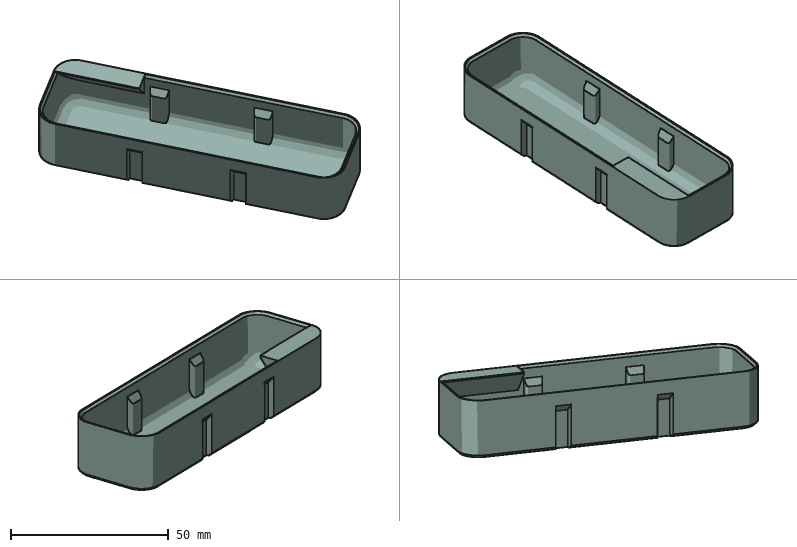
import cadquery as cq

length = 100.8
width = 30.0
height = 19.2
corner_radius = 7.1
bottom_chamfer = 1.0

wall = 1.2
floor_thickness = 1.2
floor_fillet = 4.0
rim_land = 0.4

slope = 1.25

groove_spacing = 34.3
groove_mouth_width = 5.1
groove_end_width = 4.1
groove_depth = 1.8
groove_height = 14.7
rib_base_width = 6.1
rib_tip_width = 5.2
rib_edge_radius = 0.8
rib_depth = groove_depth + wall
rib_root = floor_thickness / 2
rib_wall_height = 15.1

shelf_length = 28.2
shelf_width = 7.1
shelf_edge = 0.5

front_y = -width / 2
back_y = width / 2
left_x = -length / 2


def rounded_block(inset, bottom, top):
    """Upright block with rounded corners, set in from the outer outline."""
    return (
        cq.Workplane("XY")
        .workplane(offset=bottom)
        .rect(length - 2 * inset, width - 2 * inset)
        .extrude(top - bottom)
        .edges("|Z")
        .fillet(corner_radius - inset)
    )


def side_prism(points, start_x, prism_length):
    """Extrude a (Y, Z) outline along +X from start_x."""
    return cq.Workplane("YZ").workplane(offset=start_x).polyline(points).close().extrude(prism_length)


def sloped_key(x, start, depth, start_width, end_width, start_height, end_radius=0):
    """Tapered key on the front wall whose top slopes down to an optionally rounded inner end."""
    start_y = front_y + start
    end_y = front_y + depth
    plan = [
        (x - start_width / 2, start_y),
        (x + start_width / 2, start_y),
        (x + end_width / 2, end_y),
        (x - end_width / 2, end_y),
    ]
    column = cq.Workplane("XY").polyline(plan).close().extrude(height)
    if end_radius > 0:
        column = column.faces(">Y").edges("|Z").fillet(end_radius)
    end_height = start_height - slope * (depth - start)
    profile = [(start_y, 0), (start_y, start_height), (end_y, end_height), (end_y, 0)]
    return column.intersect(side_prism(profile, x - start_width / 2, start_width))


def on_both_walls(front_shape):
    return front_shape.union(front_shape.mirror("XZ"))


outer = rounded_block(0, 0, height).faces("<Z").chamfer(bottom_chamfer)
cavity = rounded_block(wall, floor_thickness, height).faces("<Z").edges().fillet(floor_fillet)
rim_bevel = wall - rim_land
rim_cutter = (
    cq.Workplane("XY")
    .workplane(offset=height - rim_bevel)
    .placeSketch(
        cq.Sketch().rect(length - 2 * wall, width - 2 * wall).vertices().fillet(corner_radius - wall)
    )
    .extrude(rim_bevel, taper=-45)
)
result = outer.cut(cavity).cut(rim_cutter)

groove_centres = (-groove_spacing / 2, groove_spacing / 2)
for x in groove_centres:
    rib = sloped_key(
        x, wall, rib_depth, rib_base_width, rib_tip_width, rib_wall_height, rib_edge_radius
    )
    rib = rib.intersect(rounded_block(0, rib_root, height))
    result = result.union(on_both_walls(rib))
for x in groove_centres:
    groove = sloped_key(x, 0, groove_depth, groove_mouth_width, groove_end_width, groove_height)
    result = result.cut(on_both_walls(groove))

shelf_front_y = back_y - shelf_width
shelf_profile = [
    (shelf_front_y, height),
    (back_y, height),
    (back_y, height - shelf_edge - slope * shelf_width),
    (shelf_front_y, height - shelf_edge),
]
shelf = side_prism(shelf_profile, left_x, shelf_length).intersect(outer)
result = result.union(shelf)